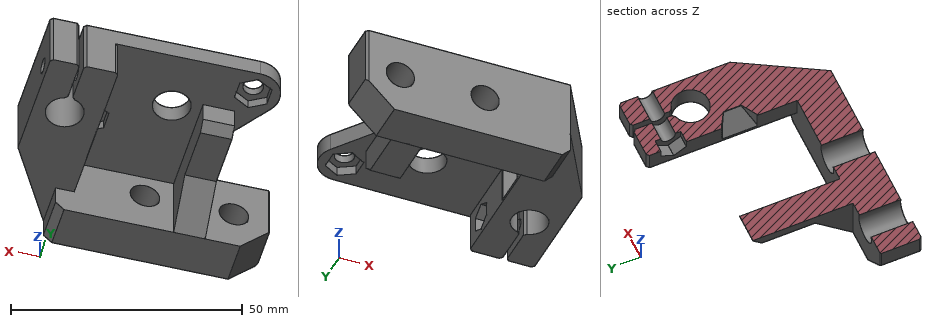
import cadquery as cq
import math

length = 59.0
depth = 45.5
height = 20.0
edge_chamfer = 0.6

bar_depth = 9.9
bar_length = 48.0
bar_back_chamfer = 0.3
bar_left_chamfer = 6.6
bar_right_chamfer = 1.9
mount_hole_diameter = 6.6
mount_hole_xs = (8.0, 27.95)
mount_hole_z = 10.0

plate_thickness = 4.15
ear_radius = 5.9
ear_x = 11.9
ear_y = depth - ear_radius
waist_x = 14.45
waist_y = 26.1
slant_angle = 60
slant_end_y = (length - bar_length) * math.tan(math.radians(slant_angle))

rib_thickness = 7.1
rib_bottom_z = 8.95
rib_back_y = 33.65
rib_chamfer = 2.1

clamp_left_x = 43.85
clamp_bottom_z = 6.5
bore_diameter = 8.4
bore_y = 31.5
clamp_bore_x = 52.0
plate_bore_x = mount_hole_xs[1]
slit_width = 1.05

clamp_screw_diameter = 3.4
clamp_screw_y = 39.2
clamp_screw_z = 11.15
clamp_nut_flats = 5.95
clamp_nut_depth = 2.95

screw_diameter = 4.4
nut_corners = 8.4
nut_ceiling_z = height - 1.95
inner_screw_x = 44.1
inner_screw_y = 23.55
ramp_start_z = 7.15


def vertical_cylinder(x, y, diameter):
    return cq.Workplane("XY").center(x, y).circle(diameter / 2).extrude(height)


def vertical_nut_recess(x, y, bottom_z):
    """Hexagonal prism with two corners on a line parallel to Y."""
    return (
        cq.Workplane("XY", origin=(x, y, bottom_z))
        .transformed(rotate=(0, 0, 90))
        .polygon(6, nut_corners)
        .extrude(nut_ceiling_z - bottom_z)
    )


def ear_tangent_angle():
    """Direction from the ear centre to where the straight flank leaves the arc."""
    dx = waist_x - ear_x
    dy = waist_y - ear_y
    return math.atan2(dy, dx) - math.acos(ear_radius / math.hypot(dx, dy))


def make_bar():
    bar = cq.Workplane("XY").box(bar_length, bar_depth, height, centered=False)
    bar = bar.edges("|Z and <X and <Y").chamfer(edge_chamfer)
    bar = bar.edges("|Z and <X and >Y").chamfer(bar_back_chamfer)
    silhouette = (
        cq.Workplane("XZ")
        .moveTo(0, height)
        .lineTo(0, bar_left_chamfer)
        .lineTo(bar_left_chamfer, 0)
        .lineTo(bar_length - bar_right_chamfer, 0)
        .lineTo(bar_length, bar_right_chamfer)
        .lineTo(bar_length, height)
        .close()
        .extrude(-bar_depth)
    )
    return bar.intersect(silhouette)


def make_plate():
    angle = ear_tangent_angle()
    tangent_x = ear_x + ear_radius * math.cos(angle)
    tangent_y = ear_y + ear_radius * math.sin(angle)
    return (
        cq.Workplane("XY", origin=(0, 0, height - plate_thickness))
        .moveTo(waist_x, 0)
        .lineTo(bar_length, 0)
        .lineTo(length, slant_end_y)
        .lineTo(length, depth)
        .lineTo(ear_x, depth)
        .threePointArc((ear_x - ear_radius, ear_y), (tangent_x, tangent_y))
        .lineTo(waist_x, waist_y)
        .close()
        .extrude(plate_thickness)
    )


def make_rib():
    return (
        cq.Workplane("YZ", origin=(waist_x, 0, 0))
        .moveTo(bar_depth, height)
        .lineTo(bar_depth, 0)
        .lineTo(bar_depth + rib_bottom_z, rib_bottom_z)
        .lineTo(rib_back_y - rib_chamfer, rib_bottom_z)
        .lineTo(rib_back_y, rib_bottom_z + rib_chamfer)
        .lineTo(rib_back_y, height)
        .close()
        .extrude(rib_thickness)
    )


def make_clamp_block():
    block = (
        cq.Workplane("XY", origin=(0, 0, clamp_bottom_z))
        .moveTo(clamp_left_x, 0)
        .lineTo(bar_length, 0)
        .lineTo(length, slant_end_y)
        .lineTo(length, depth)
        .lineTo(clamp_left_x, depth)
        .close()
        .extrude(height - clamp_bottom_z)
    )
    return block.edges("|Z and <X and >Y").chamfer(edge_chamfer)


def cut_split_bore(body):
    """Cut the clamp bore and its slit, which flares at both ends."""
    half = slit_width / 2
    flare_half = half + edge_chamfer
    bore_radius = bore_diameter / 2
    flare_y = bore_y + math.sqrt(bore_radius**2 - flare_half**2)
    slit = (
        cq.Workplane("XY")
        .moveTo(clamp_bore_x - flare_half, bore_y)
        .lineTo(clamp_bore_x - flare_half, flare_y)
        .lineTo(clamp_bore_x - half, flare_y + edge_chamfer)
        .lineTo(clamp_bore_x - half, depth - edge_chamfer)
        .lineTo(clamp_bore_x - flare_half, depth)
        .lineTo(clamp_bore_x + flare_half, depth)
        .lineTo(clamp_bore_x + half, depth - edge_chamfer)
        .lineTo(clamp_bore_x + half, flare_y + edge_chamfer)
        .lineTo(clamp_bore_x + flare_half, flare_y)
        .lineTo(clamp_bore_x + flare_half, bore_y)
        .close()
        .extrude(height)
    )
    return body.cut(slit).cut(vertical_cylinder(clamp_bore_x, bore_y, bore_diameter))


def cut_mount_holes(body):
    for x in mount_hole_xs:
        hole = (
            cq.Workplane("XZ", origin=(x, 0, mount_hole_z))
            .circle(mount_hole_diameter / 2)
            .extrude(-depth)
        )
        body = body.cut(hole)
    return body


def cut_clamp_screw(body):
    face = cq.Workplane("YZ", origin=(clamp_left_x, clamp_screw_y, clamp_screw_z))
    hole = face.circle(clamp_screw_diameter / 2).extrude(length - clamp_left_x)
    nut_corner_diameter = clamp_nut_flats / math.cos(math.radians(30))
    nut = (
        face.transformed(rotate=(0, 0, 90))
        .polygon(6, nut_corner_diameter)
        .extrude(clamp_nut_depth)
    )
    return body.cut(hole).cut(nut)


def cut_ear_screw(body):
    hole = vertical_cylinder(ear_x, ear_y, screw_diameter)
    recess = vertical_nut_recess(ear_x, ear_y, height - plate_thickness)
    return body.cut(hole).cut(recess)


def cut_inner_screw(body):
    """Cut the screw beside the clamp block; its recess enters the block over a 45 degree ramp."""
    hole = (
        cq.Workplane("XY", origin=(inner_screw_x, inner_screw_y, nut_ceiling_z))
        .circle(screw_diameter / 2)
        .extrude(height - nut_ceiling_z)
    )
    ramp = (
        cq.Workplane("XZ", origin=(clamp_left_x, inner_screw_y, ramp_start_z))
        .lineTo(nut_corners, 0)
        .lineTo(nut_corners, nut_corners)
        .close()
        .extrude(nut_corners / 2, both=True)
    )
    recess = vertical_nut_recess(inner_screw_x, inner_screw_y, ramp_start_z).cut(ramp)
    return body.cut(hole).cut(recess)


body = make_bar().union(make_plate()).union(make_rib()).union(make_clamp_block())
body = body.edges("|Z and >X and >Y").chamfer(edge_chamfer)
body = body.cut(vertical_cylinder(plate_bore_x, bore_y, bore_diameter))
body = cut_split_bore(body)
body = cut_mount_holes(body)
body = cut_clamp_screw(body)
body = cut_ear_screw(body)
result = cut_inner_screw(body)